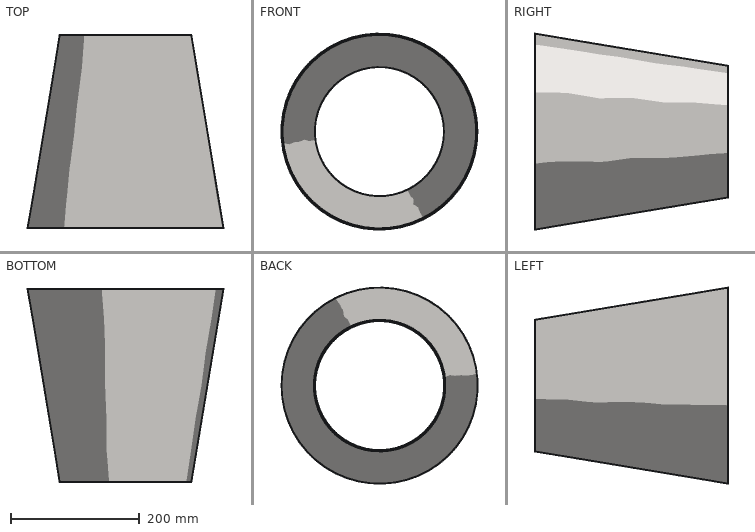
import cadquery as cq

large_diameter = 305.0
small_diameter = 205.0
length = 300.0
wall = 2.5

large_radius = large_diameter / 2
small_radius = small_diameter / 2

wall_section = (
    cq.Workplane("XY")
    .moveTo(large_radius - wall, 0)
    .lineTo(large_radius, 0)
    .lineTo(small_radius, length)
    .lineTo(small_radius - wall, length)
    .close()
)

result = wall_section.revolve(360, (0, 0, 0), (0, 1, 0))